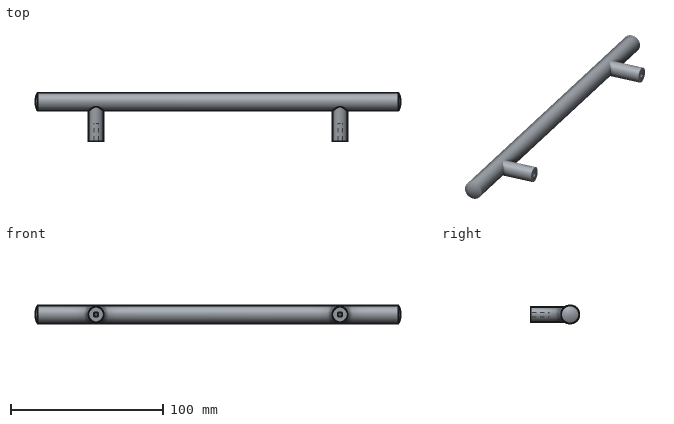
import cadquery as cq

bar_length = 240.0
bar_diameter = 12.0
dome_height = 1.7
overall_depth = 32.0
post_diameter = 10.0
post_spacing = 160.0
screw_hole_diameter = 3.0
screw_hole_depth = 12.0

bar_radius = bar_diameter / 2
half_length = bar_length / 2
shoulder_x = half_length - dome_height
dome_radius = (bar_radius**2 + dome_height**2) / (2 * dome_height)
dome_center_x = half_length - dome_radius
dome_mid_r = bar_radius / 2
dome_mid_x = dome_center_x + (dome_radius**2 - dome_mid_r**2) ** 0.5
post_end_y = bar_radius - overall_depth


def make_bar():
    """Revolve the half profile of the bar about the X axis."""
    return (
        cq.Workplane("XY")
        .moveTo(-half_length, 0)
        .threePointArc((-dome_mid_x, dome_mid_r), (-shoulder_x, bar_radius))
        .lineTo(shoulder_x, bar_radius)
        .threePointArc((dome_mid_x, dome_mid_r), (half_length, 0))
        .close()
        .revolve(360, (0, 0, 0), (1, 0, 0))
    )


def cylinder_from_post_end(x, diameter, length):
    """Cylinder running toward +Y from the free end of the post at x."""
    return cq.Workplane("XY").add(
        cq.Solid.makeCylinder(diameter / 2, length, cq.Vector(x, post_end_y, 0), cq.Vector(0, 1, 0))
    )


result = make_bar()
for post_x in (-post_spacing / 2, post_spacing / 2):
    result = result.union(cylinder_from_post_end(post_x, post_diameter, -post_end_y))
    result = result.cut(cylinder_from_post_end(post_x, screw_hole_diameter, screw_hole_depth))